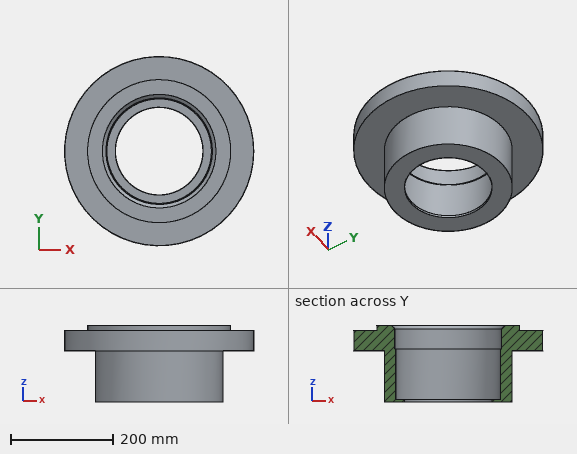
import cadquery as cq

flange_diameter = 370.0
flange_thickness = 40.0
barrel_diameter = 250.0
barrel_length = 100.0
raised_face_diameter = 279.7
raised_face_height = 10.0

mouth_diameter = 222.0
seat_diameter = 208.3
bore_diameter = 204.2
outlet_diameter = 171.0
mouth_chamfer_depth = 7.0
seat_depth = 46.0
outlet_lip_thickness = 5.0

flange_top = barrel_length + flange_thickness
total_height = flange_top + raised_face_height


def disc(diameter, bottom, top):
    """Cylinder on the Z axis between two heights."""
    return cq.Workplane("XY").workplane(offset=bottom).circle(diameter / 2).extrude(top - bottom)


def mouth_cone():
    """Tapered lead-in from the raised face to the seat."""
    return (
        cq.Workplane("XY")
        .workplane(offset=total_height - mouth_chamfer_depth)
        .circle(seat_diameter / 2)
        .workplane(offset=mouth_chamfer_depth)
        .circle(mouth_diameter / 2)
        .loft()
    )


body = (
    disc(barrel_diameter, 0, barrel_length)
    .union(disc(flange_diameter, barrel_length, flange_top))
    .union(disc(raised_face_diameter, flange_top, total_height))
)

result = (
    body.cut(disc(outlet_diameter, 0, total_height))
    .cut(disc(bore_diameter, outlet_lip_thickness, total_height))
    .cut(disc(seat_diameter, total_height - seat_depth, total_height))
    .cut(mouth_cone())
)